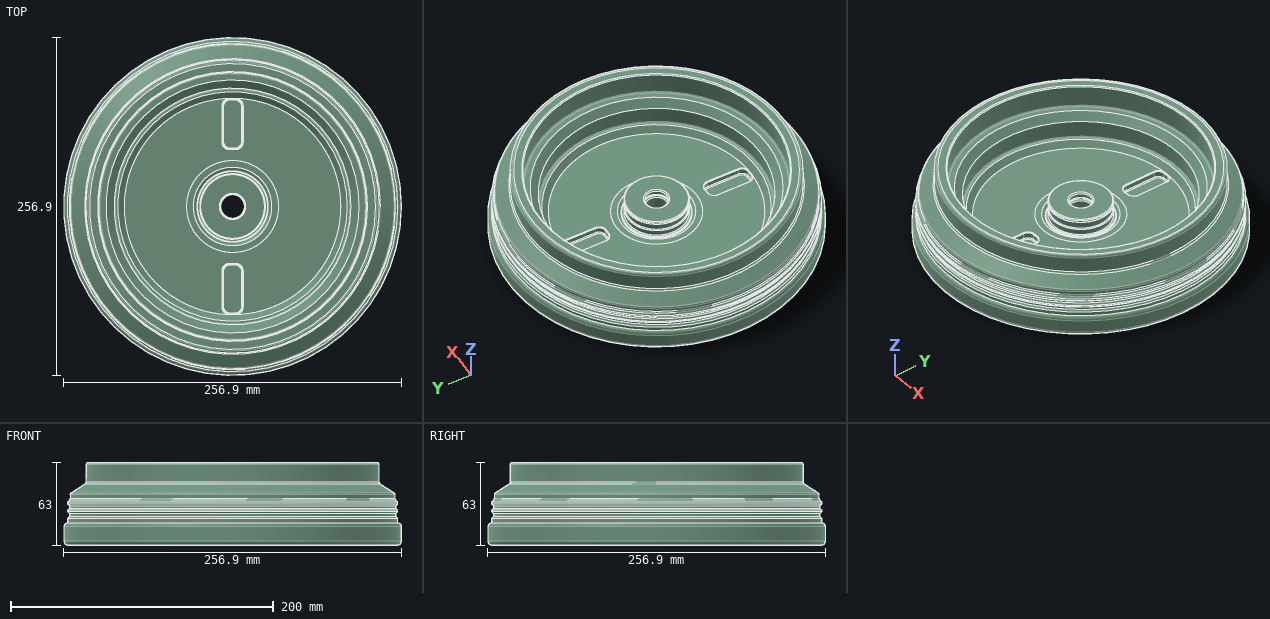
import cadquery as cq

outer_diameter = 256.89
total_height = 63.01

bowl_diameter = 217.4
hub_diameter = 70.0

collar_diameter = 223.0
collar_top_fillet = 1.5
collar_foot_fillet = 2.0
collar_foot_height = 47.2
shoulder_diameter = 247.13
shoulder_height = 39.5
shoulder_fillet = 1.6

crest_diameter = 251.13
groove_diameter = 248.25
groove_depth = (crest_diameter - groove_diameter) / 2
flank_foot_fillet = 2.0
upper_crest_top = 33.0
upper_crest_bottom = 31.4
lower_crest_top = 26.8
lower_crest_bottom = 25.6
land_top = 20.6

band_height = 17.1
band_top_fillet = 2.8
band_bottom_fillet = 3.5

rim_bore_diameter = 203.65
rim_chamfer = 0.8
shelf_height = 43.8
shelf_inner_diameter = 192.4
well_diameter = 180.0
well_top_height = 38.0
ledge_height = 23.1
ledge_inner_diameter = 174.4
step_fillet = 0.8
floor_diameter = 164.6
floor_height = 18.3

slot_length = 39.0
slot_width = 16.3
slot_corner_radius = 6.0
slot_center_offset = 62.7
slot_depth = 6.0
slot_edge_chamfer = 0.5
slot_floor_chamfer = 0.8

post_diameter = 49.98
post_top_height = 31.8
neck_diameter = 48.5
neck_top_height = 28.8
neck_bottom_height = 23.4
lip_chamfer = (post_diameter - neck_diameter) / 2
dish_diameter = 59.6
dish_bottom_diameter = 54.2
dish_depth = 1.5
post_foot_diameter = 53.2
post_foot_height = 17.8

bore_diameter = 18.0
bore_groove_diameter = 20.0
bore_groove_top = 26.4
bore_groove_bottom = 25.1
bore_chamfer = (bore_groove_diameter - bore_diameter) / 2


def revolve_about_z(half_section):
    """Turn a closed (radius, height) outline drawn on XZ into a solid about Z."""
    return half_section.close().revolve(360, (0, 0, 0), (0, 1, 0))


def circle_edges(body, diameter, height):
    """Select the full-circle edges of one diameter at one height."""
    margin = 0.01
    reach = diameter / 2 + margin
    box = cq.selectors.BoxSelector(
        (-reach, -reach, height - margin), (reach, reach, height + margin), boundingbox=True
    )
    radius = diameter / 2
    edges = [
        edge
        for edge in body.edges(box).vals()
        if edge.geomType() == "CIRCLE" and abs(edge.radius() - radius) < margin
    ]
    return body.newObject(edges)


def make_outer_ring():
    joint = bowl_diameter / 2
    crest = crest_diameter / 2
    groove = groove_diameter / 2
    shoulder = shoulder_diameter / 2
    section = (
        cq.Workplane("XZ")
        .moveTo(joint, 0)
        .lineTo(outer_diameter / 2, 0)
        .lineTo(outer_diameter / 2, band_height)
        .lineTo(crest, band_height)
        .lineTo(crest, land_top)
        .lineTo(groove, land_top + groove_depth)
        .lineTo(groove, lower_crest_bottom - groove_depth)
        .lineTo(crest, lower_crest_bottom)
        .lineTo(crest, lower_crest_top)
        .lineTo(groove, lower_crest_top + groove_depth)
        .lineTo(groove, upper_crest_bottom - groove_depth)
        .lineTo(crest, upper_crest_bottom)
        .lineTo(crest, upper_crest_top)
        .lineTo(shoulder, upper_crest_top + crest - shoulder)
        .lineTo(shoulder, shoulder_height)
        .lineTo(collar_diameter / 2, collar_foot_height)
        .lineTo(collar_diameter / 2, total_height)
        .lineTo(joint, total_height)
    )
    ring = revolve_about_z(section)
    ring = circle_edges(ring, outer_diameter, 0).fillet(band_bottom_fillet)
    ring = circle_edges(ring, outer_diameter, band_height).fillet(band_top_fillet)
    ring = circle_edges(ring, shoulder_diameter, shoulder_height).fillet(shoulder_fillet)
    flank_foot_height = upper_crest_top + crest - shoulder
    ring = circle_edges(ring, shoulder_diameter, flank_foot_height).fillet(flank_foot_fillet)
    ring = circle_edges(ring, collar_diameter, collar_foot_height).fillet(collar_foot_fillet)
    return circle_edges(ring, collar_diameter, total_height).fillet(collar_top_fillet)


def slot_outline(inset):
    """Rounded slot outline, drawn in by the same amount on every side."""
    return (
        cq.Sketch()
        .rect(slot_width - 2 * inset, slot_length - 2 * inset)
        .vertices()
        .fillet(slot_corner_radius - inset)
    )


def make_slot_cutter(center_y):
    mouth = (
        cq.Workplane("XY", origin=(0, center_y, floor_height))
        .placeSketch(slot_outline(0))
        .extrude(-slot_edge_chamfer, taper=45)
    )
    pocket = (
        cq.Workplane("XY", origin=(0, center_y, floor_height))
        .placeSketch(slot_outline(slot_edge_chamfer))
        .extrude(-slot_depth)
        .faces("<Z")
        .chamfer(slot_floor_chamfer)
    )
    return pocket.union(mouth)


def make_bowl():
    rim_bore = rim_bore_diameter / 2
    section = (
        cq.Workplane("XZ")
        .moveTo(hub_diameter / 2, 0)
        .lineTo(bowl_diameter / 2, 0)
        .lineTo(bowl_diameter / 2, total_height)
        .lineTo(rim_bore, total_height)
        .lineTo(rim_bore, shelf_height)
        .lineTo(shelf_inner_diameter / 2, shelf_height)
        .lineTo(well_diameter / 2, well_top_height)
        .lineTo(well_diameter / 2, ledge_height)
        .lineTo(ledge_inner_diameter / 2, ledge_height)
        .lineTo(floor_diameter / 2, floor_height)
        .lineTo(hub_diameter / 2, floor_height)
    )
    bowl = revolve_about_z(section)
    bowl = circle_edges(bowl, rim_bore_diameter, total_height).chamfer(rim_chamfer)
    bowl = circle_edges(bowl, rim_bore_diameter, shelf_height).fillet(step_fillet)
    bowl = circle_edges(bowl, well_diameter, ledge_height).fillet(step_fillet)
    for side in (-1, 1):
        bowl = bowl.cut(make_slot_cutter(side * slot_center_offset))
    return bowl


def make_hub():
    bore = bore_diameter / 2
    bore_groove = bore_groove_diameter / 2
    post = post_diameter / 2
    neck = neck_diameter / 2
    dish_bottom = floor_height - dish_depth
    section = (
        cq.Workplane("XZ")
        .moveTo(bore, 0)
        .lineTo(hub_diameter / 2, 0)
        .lineTo(hub_diameter / 2, floor_height)
        .lineTo(dish_diameter / 2, floor_height)
        .lineTo(dish_bottom_diameter / 2, dish_bottom)
        .lineTo(post_foot_diameter / 2, dish_bottom)
        .lineTo(post_foot_diameter / 2, post_foot_height)
        .lineTo(post, post_foot_height)
        .lineTo(post, neck_bottom_height - lip_chamfer)
        .lineTo(neck, neck_bottom_height)
        .lineTo(neck, neck_top_height)
        .lineTo(post, neck_top_height + lip_chamfer)
        .lineTo(post, post_top_height - lip_chamfer)
        .lineTo(neck, post_top_height)
        .lineTo(bore_groove, post_top_height)
        .lineTo(bore, post_top_height - bore_chamfer)
        .lineTo(bore, bore_groove_top + bore_chamfer)
        .lineTo(bore_groove, bore_groove_top)
        .lineTo(bore_groove, bore_groove_bottom)
        .lineTo(bore, bore_groove_bottom - bore_chamfer)
    )
    return revolve_about_z(section)


outer_ring = make_outer_ring()
bowl = make_bowl()
hub = make_hub()

result = cq.Compound.makeCompound([outer_ring.val(), bowl.val(), hub.val()])